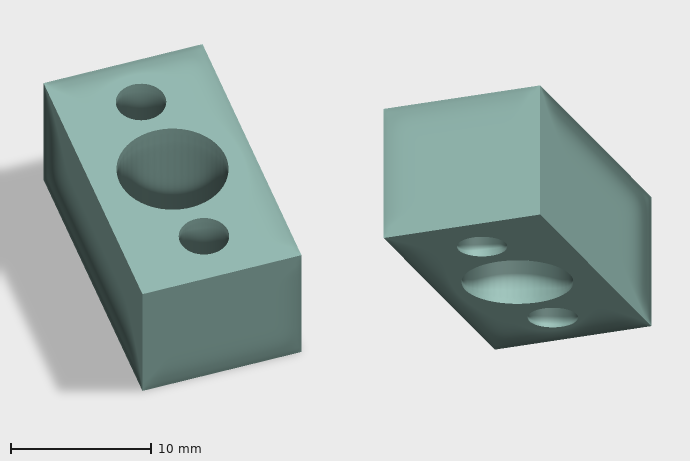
import cadquery as cq

length = 22.0
width = 12.0
height = 10.0

bore_diameter = 8.0
screw_hole_diameter = 3.6
screw_hole_spacing = 14.0

block = cq.Workplane("XY").box(length, width, height)

bored_block = block.faces(">Z").workplane().hole(bore_diameter)

result = (
    bored_block.faces(">Z")
    .workplane(origin=(0, 0, 0))
    .pushPoints([(-screw_hole_spacing / 2, 0), (screw_hole_spacing / 2, 0)])
    .hole(screw_hole_diameter)
)